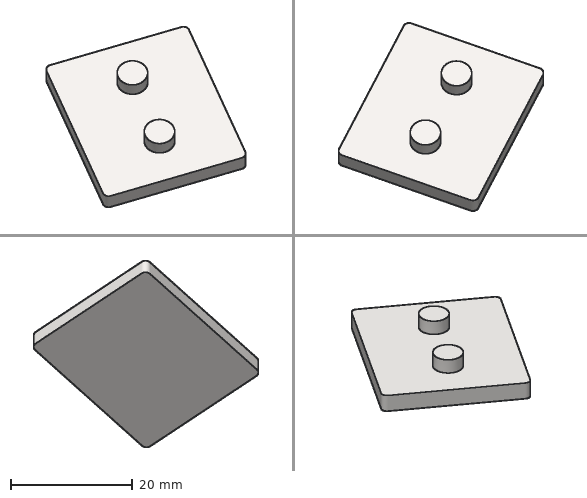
import cadquery as cq

plate_length = 29.0
plate_width = 25.0
plate_thickness = 3.02
corner_radius = 1.0

overall_height = 5.5
peg_height = overall_height - plate_thickness
peg_base_diameter = 5.08
peg_top_diameter = 5.02
peg_spacing = 13.0


def make_plate():
    """Flat plate centred on the Z axis, with rounded vertical corners."""
    blank = cq.Workplane("XY").box(
        plate_length, plate_width, plate_thickness, centered=(True, True, False)
    )
    return blank.edges("|Z").fillet(corner_radius)


def make_peg(x):
    """Slightly tapered round peg standing on the plate at (x, 0)."""
    base = cq.Workplane("XY", origin=(x, 0, plate_thickness)).circle(peg_base_diameter / 2)
    return base.workplane(offset=peg_height).circle(peg_top_diameter / 2).loft()


result = make_plate()
for side in (-1, 1):
    result = result.union(make_peg(side * peg_spacing / 2))